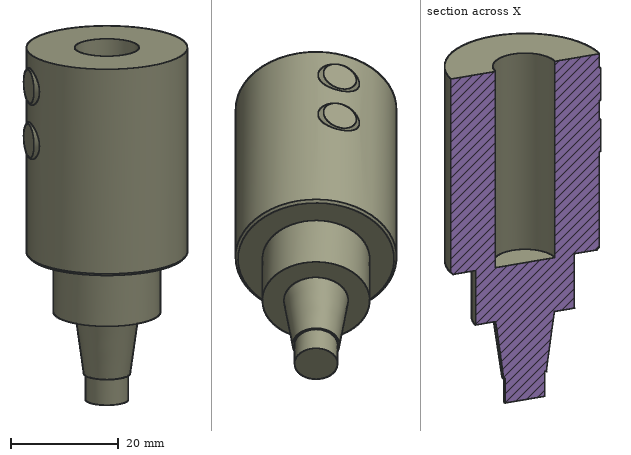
import cadquery as cq

total_length = 68.0
body_diameter = 30.0
body_length = 40.0
body_chamfer = 0.5
neck_diameter = 20.0
neck_length = 11.1
taper_top_diameter = 12.0
taper_bottom_diameter = 8.7
tip_diameter = 8.0
tip_length = 5.0

bore_diameter = 12.0
bore_depth = body_length

head_diameter = 6.4
head_protrusion = 0.3
head_cone_height = 1.1
head_top_offset = 6.25
head_spacing = 10.5

body_radius = body_diameter / 2
body_bottom = total_length - body_length
neck_bottom = body_bottom - neck_length


def make_shank():
    """Revolve the half profile of body, neck, taper and tip about Z."""
    profile = [
        (0, 0),
        (tip_diameter / 2, 0),
        (tip_diameter / 2, tip_length),
        (taper_bottom_diameter / 2, tip_length),
        (taper_top_diameter / 2, neck_bottom),
        (neck_diameter / 2, neck_bottom),
        (neck_diameter / 2, body_bottom),
        (body_radius - body_chamfer, body_bottom),
        (body_radius, body_bottom + body_chamfer),
        (body_radius, total_length),
        (0, total_length),
    ]
    return cq.Workplane("XZ").polyline(profile).close().revolve(360, (0, 0), (0, 1))


def make_head(height):
    """Cone frustum narrowing outward to its flat face on the -Y side."""
    face_radius = head_diameter / 2
    base_radius = face_radius + head_cone_height
    base_y = -(body_radius + head_protrusion - head_cone_height)
    frustum = cq.Solid.makeCone(
        base_radius,
        face_radius,
        head_cone_height,
        pnt=cq.Vector(0, base_y, height),
        dir=cq.Vector(0, -1, 0),
    )
    return cq.Workplane(obj=frustum)


result = make_shank()
for index in range(2):
    head_height = total_length - head_top_offset - index * head_spacing
    result = result.union(make_head(head_height))

bore = cq.Workplane("XY", origin=(0, 0, total_length)).circle(bore_diameter / 2).extrude(-bore_depth)
result = result.cut(bore)